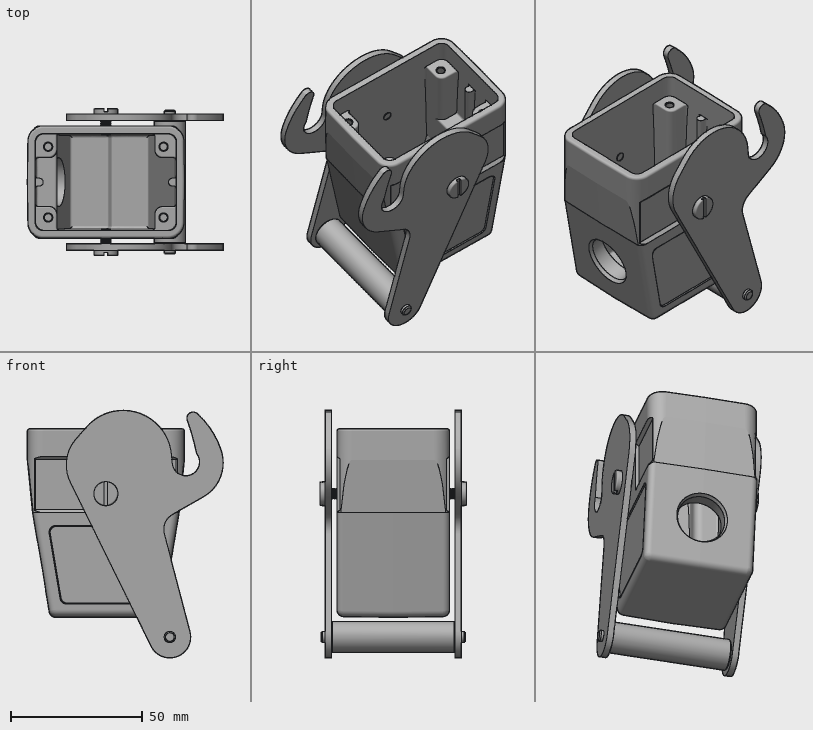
import cadquery as cq
import math


HEIGHT = 72.0
HALF_LENGTH = 30.0
HALF_WIDTH = 21.5
STRAIGHT_Z = 60.0
WAIST_Z = 40.0
WAIST_HALF_LENGTH = 28.0
BASE_HALF_LENGTH = 21.3
END_DRAFT = 0.8
UPPER_CORNER_R = 6.0
LOWER_CORNER_R = 2.5
BASE_FILLET = 2.6
RIM_FILLET = 1.0

RIM_WALL = 3.0
CAVITY_END_DRAFT = 0.02
CAVITY_SIDE_DRAFT = 0.012
CAVITY_CORNER_R = 3.2
FLOOR_Z = 4.0
FLOOR_START_X = -13.4
RAISED_FLOOR_Z = 7.0
RAISED_FLOOR_END_X = 16.2
FAR_LEAN_TOP_Z = 52.0
STEP_X = 0.9
STEP_RUN = 1.5
LEDGE_Z = 39.0
LEDGE_INNER_X = -18.7
FLOOR_FILLET = 0.9
LEDGE_FILLET = 0.8
ENTRY_WALL_BREAK_Z = 24.0

POST_TOP_Z = 62.9
POST_INNER_X = 18.7
POST_INNER_Y = 9.3
POST_CORNER_R = 3.0
POST_FOOT_R = 1.0
POST_TOP_FILLET = 0.6
POST_HOLE_X = 22.0
POST_HOLE_Y = 13.5
POST_HOLE_D = 2.9
POST_HOLE_MOUTH_D = 3.5
POST_HOLE_DEPTH = 12.0
RIB_TOP_Z = 61.9
RIB_R = 1.5
RIB_TIP_X = 23.9
RIB_FOOT_R = 0.8

ENTRY_Z = 20.0
ENTRY_D = 18.6
ENTRY_MOUTH_D = 20.2
ENTRY_MOUTH_DEPTH = 1.5
ENTRY_DEPTH = 11.0

RECESS_TOP_Z = 61.4
RECESS_DEPTH = 1.35
RECESS_SLOPE = 1.1
RECESS_FLAT_HALF_LENGTH = 26.8
PAD_HALF_LENGTH = 7.0
PANEL_TOP_Z = 35.1
PANEL_BOTTOM_Z = 5.1
PANEL_INSET = 5.05
PANEL_DEPTH = 0.45
PANEL_BEVEL = 0.4
PANEL_CORNER_R = 2.6

PLATE_INNER_Y = 23.5
PLATE_OUTER_Y = 26.0
SHOULDER = (-0.1, 58.2, 15.0)
CROWN = (6.6, 60.55, 18.5)
THROAT = (30.5, 59.3, -5.2)
HOOK = (29.8, 59.0, 15.0)
ARMPIT = (28.6, 33.6, -6.5)
TAIL = (24.4, -7.47, 8.0)
FINGER_TIP = (33.3, 76.0, 2.4)
FINGER_ROOT_ANGLE = 38.0
FINGER_INNER_MID = (33.6, 66.8)
FINGER_INNER_ANGLE = 195.0
FINGER_OUTER_ANGLE = 40.0
FINGER_OUTER_MID = (41.1, 70.2)
HOOK_START_ANGLE = 20.0

PIVOT_Z = 47.2
HEAD_D = 9.2
HEAD_TOP_Y = 28.0
HEAD_FILLET = 0.5
SLOT_WIDTH = 1.4
SLOT_DEPTH = 1.1
THREAD_D = 4.0
THREAD_CORE_D = 3.4
THREAD_PITCH = 0.7
SCREW_TIP_Y = 17.9
BAR_D = 12.0
BAR_CHAMFER = 0.4
PIN_D = 4.3
PIN_TIP_Y = 27.5
PIN_CHAMFER = 0.5

MARGIN = 1.0
EDGE_MARGIN = 0.1
END_LEAN = (WAIST_HALF_LENGTH - BASE_HALF_LENGTH) / WAIST_Z


def lower_end_x(z):
    """Half length of the lower housing at height z."""
    return BASE_HALF_LENGTH + END_LEAN * z


def box(x0, x1, y0, y1, z0, z1):
    """Block between two limits along each axis."""
    return cq.Workplane("XY").box(x1 - x0, y1 - y0, z1 - z0, centered=False).translate((x0, y0, z0))


def y_cylinder(x, z, diameter, y0, y1):
    """Cylinder along Y from y0 up to y1."""
    return cq.Workplane("XZ", origin=(x, y0, z)).circle(diameter / 2).extrude(y0 - y1)


def front_prism(points, depth, taper=0):
    """Prism of an XZ outline, reaching from Y = 0 to -depth."""
    return cq.Workplane("XZ").polyline(points).close().extrude(depth, taper=taper)


def both_sides(body):
    """A feature on the -Y side together with its mirror image."""
    return body.union(body.mirror("XZ"))


def make_base():
    """Lower half of the housing, narrowing downwards, with rounded edges."""
    outline = [
        (-BASE_HALF_LENGTH, 0),
        (BASE_HALF_LENGTH, 0),
        (lower_end_x(HEIGHT), HEIGHT),
        (-lower_end_x(HEIGHT), HEIGHT),
    ]
    below_waist = box(-HALF_LENGTH, HALF_LENGTH, -HALF_WIDTH, 0, 0, WAIST_Z)
    half = front_prism(outline, HALF_WIDTH, END_DRAFT).intersect(below_waist)
    half = half.faces("<Y").edges("not |X").fillet(LOWER_CORNER_R)
    bottom_edges = cq.selectors.BoxSelector(
        (-HALF_LENGTH, -HALF_WIDTH - MARGIN, -MARGIN), (HALF_LENGTH, -MARGIN, MARGIN)
    )
    half = half.edges(bottom_edges).fillet(BASE_FILLET)
    return both_sides(half)


def make_rim():
    """Upper half of the housing: a rounded column with leaning ends below STRAIGHT_Z."""
    waist_x = WAIST_HALF_LENGTH - MARGIN * (HALF_LENGTH - WAIST_HALF_LENGTH) / (STRAIGHT_Z - WAIST_Z)
    outline = [
        (-waist_x, WAIST_Z - MARGIN),
        (waist_x, WAIST_Z - MARGIN),
        (HALF_LENGTH, STRAIGHT_Z),
        (HALF_LENGTH, HEIGHT + MARGIN),
        (-HALF_LENGTH, HEIGHT + MARGIN),
        (-HALF_LENGTH, STRAIGHT_Z),
    ]
    upright_outline = [
        (-HALF_LENGTH, 0),
        (HALF_LENGTH, 0),
        (HALF_LENGTH, HEIGHT + MARGIN),
        (-HALF_LENGTH, HEIGHT + MARGIN),
    ]
    column = front_prism(upright_outline, HALF_WIDTH, END_DRAFT)
    column = column.faces("<Y").edges("not |X").fillet(UPPER_CORNER_R)
    above_waist = box(-HALF_LENGTH, HALF_LENGTH, -HALF_WIDTH, 0, WAIST_Z, HEIGHT)
    half = front_prism(outline, HALF_WIDTH, END_DRAFT).intersect(above_waist).intersect(column)
    half = half.faces(">Z").edges("not >Y").fillet(RIM_FILLET)
    return both_sides(half)


def side_recess():
    """Recess with sloping walls across the -Y side, and a pad left standing around the pivot."""
    face_y = -HALF_WIDTH
    floor_y = RECESS_DEPTH - HALF_WIDTH
    section = [
        (face_y, WAIST_Z),
        (floor_y, WAIST_Z + RECESS_SLOPE),
        (floor_y, RECESS_TOP_Z - RECESS_SLOPE),
        (face_y, RECESS_TOP_Z),
    ]
    plan = [
        (-HALF_LENGTH, face_y),
        (-RECESS_FLAT_HALF_LENGTH, floor_y),
        (RECESS_FLAT_HALF_LENGTH, floor_y),
        (HALF_LENGTH, face_y),
    ]
    recess = cq.Workplane("YZ").polyline(section).close().extrude(HALF_LENGTH, both=True)
    recess = recess.intersect(cq.Workplane("XY").polyline(plan).close().extrude(HEIGHT))
    pad = box(-PAD_HALF_LENGTH, PAD_HALF_LENGTH, face_y, floor_y, WAIST_Z, RECESS_TOP_Z)
    return recess.cut(pad)


def side_panel():
    """Shallow label field with bevelled walls in the -Y side."""
    bottom_x = lower_end_x(PANEL_BOTTOM_Z) - PANEL_INSET
    top_x = lower_end_x(PANEL_TOP_Z) - PANEL_INSET
    outline = [
        (-bottom_x, PANEL_BOTTOM_Z),
        (bottom_x, PANEL_BOTTOM_Z),
        (top_x, PANEL_TOP_Z),
        (-top_x, PANEL_TOP_Z),
    ]
    panel = front_prism(outline, PANEL_DEPTH).translate((0, PANEL_DEPTH - HALF_WIDTH, 0))
    return panel.edges("|Y").fillet(PANEL_CORNER_R).faces(">Y").chamfer(PANEL_BEVEL)


def cavity_half_length(z):
    """Half length of the cavity between its upper end walls at height z."""
    return HALF_LENGTH - RIM_WALL - CAVITY_END_DRAFT * (HEIGHT - z)


def cavity_half_width(z):
    """Half width of the cavity at height z."""
    return HALF_WIDTH - RIM_WALL - CAVITY_SIDE_DRAFT * (HEIGHT - z)


def cavity_section(z):
    """Rounded rectangular cross-section of the cavity at height z."""
    size = (2 * cavity_half_length(z), 2 * cavity_half_width(z))
    return cq.Sketch().rect(*size).vertices().fillet(CAVITY_CORNER_R)


def make_cavity():
    """Rounded column that widens upwards, trimmed by the floors, the ledge and the leaning end walls."""
    rise = cq.Location(cq.Vector(0, 0, HEIGHT))
    column = cq.Workplane("XY").placeSketch(cavity_section(0), cavity_section(HEIGHT).moved(rise)).loft()
    outline = [
        (-HALF_LENGTH, HEIGHT),
        (-HALF_LENGTH, LEDGE_Z),
        (LEDGE_INNER_X, LEDGE_Z),
        (LEDGE_INNER_X, ENTRY_WALL_BREAK_Z),
        (FLOOR_START_X, FLOOR_Z),
        (STEP_X, FLOOR_Z),
        (STEP_X + STEP_RUN, RAISED_FLOOR_Z),
        (RAISED_FLOOR_END_X, RAISED_FLOOR_Z),
        (HALF_LENGTH, FAR_LEAN_TOP_Z),
        (HALF_LENGTH, HEIGHT),
    ]
    cavity = both_sides(front_prism(outline, HALF_WIDTH)).intersect(column)
    cavity = cavity.edges(height_zone(0, RAISED_FLOOR_Z + FLOOR_FILLET / 2)).fillet(FLOOR_FILLET)
    ledge_edges = height_zone(LEDGE_Z - LEDGE_FILLET, LEDGE_Z + LEDGE_FILLET)
    return cavity.edges(ledge_edges).edges("<X or |Y").fillet(LEDGE_FILLET)


def height_zone(z0, z1):
    """Selector of everything in the housing that is centred between two heights."""
    return cq.selectors.BoxSelector((-HALF_LENGTH, -HALF_LENGTH, z0), (HALF_LENGTH, HALF_LENGTH, z1))


def upright_edge(x, y):
    """Selector of the upright edge through (x, y)."""
    near_corner = (x - EDGE_MARGIN, y - EDGE_MARGIN, 0)
    far_corner = (x + EDGE_MARGIN, y + EDGE_MARGIN, HEIGHT)
    return cq.selectors.BoxSelector(near_corner, far_corner)


def make_post():
    """Post in the +X +Y corner with hollow fillets to the walls and a chamfered screw hole."""
    wall_x = cavity_half_length(POST_TOP_Z)
    wall_y = cavity_half_width(POST_TOP_Z)
    outer_x = wall_x + RIM_WALL / 2
    outer_y = wall_y + RIM_WALL / 2
    foot_x = POST_INNER_X - 2 * POST_FOOT_R
    foot_y = POST_INNER_Y - 2 * POST_FOOT_R
    post = box(POST_INNER_X, outer_x, POST_INNER_Y, outer_y, 0, POST_TOP_Z)
    post = post.union(box(wall_x, outer_x, foot_y, outer_y, 0, POST_TOP_Z))
    post = post.union(box(foot_x, outer_x, wall_y, outer_y, 0, POST_TOP_Z))
    post = post.edges(upright_edge(POST_INNER_X, POST_INNER_Y)).fillet(POST_CORNER_R)
    post = post.edges(upright_edge(wall_x, POST_INNER_Y)).fillet(POST_FOOT_R)
    post = post.edges(upright_edge(POST_INNER_X, wall_y)).fillet(POST_FOOT_R)
    post = post.faces(">Z").edges().fillet(POST_TOP_FILLET)

    hole_top = cq.Workplane("XY", origin=(POST_HOLE_X, POST_HOLE_Y, POST_TOP_Z))
    hole = hole_top.circle(POST_HOLE_D / 2).extrude(-POST_HOLE_DEPTH)
    mouth_depth = (POST_HOLE_MOUTH_D - POST_HOLE_D) / 2
    mouth = (
        hole_top.circle(POST_HOLE_MOUTH_D / 2)
        .workplane(offset=-mouth_depth)
        .circle(POST_HOLE_D / 2)
        .loft()
    )
    return post.cut(hole).cut(mouth)


def make_rib():
    """Upright rib with a round nose in the middle of the +X wall, with hollow fillets to the wall."""
    wall_x = cavity_half_length(RIB_TOP_Z)
    outer_x = wall_x + RIM_WALL / 2
    foot_y = RIB_R + 2 * RIB_FOOT_R
    nose_x = RIB_TIP_X + RIB_R
    rib = cq.Workplane("XY").center(nose_x, 0).circle(RIB_R).extrude(RIB_TOP_Z)
    rib = rib.union(box(nose_x, outer_x, -RIB_R, RIB_R, 0, RIB_TOP_Z))
    rib = rib.union(box(wall_x, outer_x, -foot_y, foot_y, 0, RIB_TOP_Z))
    for y in (-RIB_R, RIB_R):
        rib = rib.edges(upright_edge(wall_x, y)).fillet(RIB_FOOT_R)
    return rib


def make_fittings():
    """The four posts and two ribs."""
    half = make_rib().union(both_sides(make_post()))
    return half.union(half.mirror("YZ"))


def cable_entry():
    """Round opening square to the leaning -X wall, wider at its outer mouth."""
    lean = math.atan(END_LEAN)
    inward = cq.Vector(math.cos(lean), 0, math.sin(lean))
    mouth_plane = cq.Plane((-lower_end_x(ENTRY_Z), 0, ENTRY_Z), (0, 1, 0), inward)
    bore = cq.Workplane(mouth_plane).circle(ENTRY_D / 2).extrude(ENTRY_DEPTH)
    mouth = cq.Workplane(mouth_plane).workplane(offset=-MARGIN).circle(ENTRY_MOUTH_D / 2).extrude(MARGIN)
    cone = (
        cq.Workplane(mouth_plane)
        .circle(ENTRY_MOUTH_D / 2)
        .workplane(offset=ENTRY_MOUTH_DEPTH)
        .circle(ENTRY_D / 2)
        .loft()
    )
    return bore.union(mouth).union(cone)


def make_housing():
    outer = make_base().union(make_rim())
    cavity = make_cavity()
    housing = outer.cut(both_sides(side_recess())).cut(both_sides(side_panel()))
    return housing.cut(cavity.cut(make_fittings())).cut(cable_entry())


def circle_point(circle, angle):
    """Point on an outline circle at an angle in degrees from +X towards +Z."""
    x, z, radius = circle
    radius = abs(radius)
    return x + radius * math.cos(math.radians(angle)), z + radius * math.sin(math.radians(angle))


def tangent_angles(first, second):
    """Angles on two outline circles where their common tangent, followed clockwise, touches."""
    dx = second[0] - first[0]
    dz = second[1] - first[1]
    spread = math.acos((first[2] - second[2]) / math.hypot(dx, dz))
    normal = math.degrees(math.atan2(dz, dx) + spread)
    return tuple(normal if circle[2] > 0 else normal + 180 for circle in (first, second))


def add_arc(path, circle, start, end):
    """Arc of an outline circle from its start angle, clockwise if convex, to its end angle."""
    if circle[2] > 0:
        middle = start - ((start - end) % 360) / 2
    else:
        middle = start + ((end - start) % 360) / 2
    return path.threePointArc(circle_point(circle, middle), circle_point(circle, end))


def lever_plate():
    """Lever plate on the -Y side, outlined clockwise from the outer side of the hook."""
    chain = [HOOK, ARMPIT, TAIL, SHOULDER, CROWN, THROAT]
    starts = [HOOK_START_ANGLE]
    ends = []
    for first, second in zip(chain, chain[1:]):
        leave, arrive = tangent_angles(first, second)
        ends.append(leave)
        starts.append(arrive)
    ends.append(FINGER_ROOT_ANGLE)

    path = cq.Workplane("XZ", origin=(0, -PLATE_INNER_Y, 0)).moveTo(*circle_point(HOOK, HOOK_START_ANGLE))
    path = add_arc(path, chain[0], starts[0], ends[0])
    for circle, start, end in zip(chain[1:], starts[1:], ends[1:]):
        path = add_arc(path.lineTo(*circle_point(circle, start)), circle, start, end)
    path = path.threePointArc(FINGER_INNER_MID, circle_point(FINGER_TIP, FINGER_INNER_ANGLE))
    path = add_arc(path, FINGER_TIP, FINGER_INNER_ANGLE, FINGER_OUTER_ANGLE)
    path = path.threePointArc(FINGER_OUTER_MID, circle_point(HOOK, HOOK_START_ANGLE))
    return path.close().extrude(PLATE_OUTER_Y - PLATE_INNER_Y)


def pivot_screw():
    """Slotted screw on the -Y side, threaded between the housing and the lever plate."""
    head = y_cylinder(0, PIVOT_Z, HEAD_D, -HEAD_TOP_Y, -PLATE_OUTER_Y)
    head = head.faces("<Y").edges().fillet(HEAD_FILLET)
    slot = box(
        -SLOT_WIDTH / 2, SLOT_WIDTH / 2,
        -HEAD_TOP_Y, SLOT_DEPTH - HEAD_TOP_Y,
        PIVOT_Z - HEAD_D, PIVOT_Z + HEAD_D,
    )
    core = y_cylinder(0, PIVOT_Z, THREAD_CORE_D, -PLATE_OUTER_Y, -SCREW_TIP_Y)
    screw = head.cut(slot).union(core)
    ridge_count = math.ceil((PLATE_INNER_Y - HALF_WIDTH) / THREAD_PITCH)
    for index in range(ridge_count):
        screw = screw.union(thread_ridge(-PLATE_INNER_Y + (index + 0.5) * THREAD_PITCH))
    return screw


def thread_ridge(y):
    """One ring-shaped thread ridge, centred on y."""
    half_pitch = THREAD_PITCH / 2
    section = [
        (0, y - half_pitch),
        (THREAD_CORE_D / 2, y - half_pitch),
        (THREAD_D / 2, y),
        (THREAD_CORE_D / 2, y + half_pitch),
        (0, y + half_pitch),
    ]
    ridge = cq.Workplane("XY").polyline(section).close().revolve(360, (0, 0), (0, 1))
    return ridge.translate((0, 0, PIVOT_Z))


def cross_bar():
    """Grip bar between the two lever plates, with a pin that passes through both of them."""
    x, z = TAIL[:2]
    bar = y_cylinder(x, z, BAR_D, -PLATE_INNER_Y, PLATE_INNER_Y).faces("<Y or >Y").chamfer(BAR_CHAMFER)
    pin = y_cylinder(x, z, PIN_D, -PIN_TIP_Y, PIN_TIP_Y).faces("<Y or >Y").chamfer(PIN_CHAMFER)
    return bar.union(pin)


housing = make_housing()
lever = both_sides(lever_plate()).union(cross_bar())
result = housing.union(lever).union(both_sides(pivot_screw()))